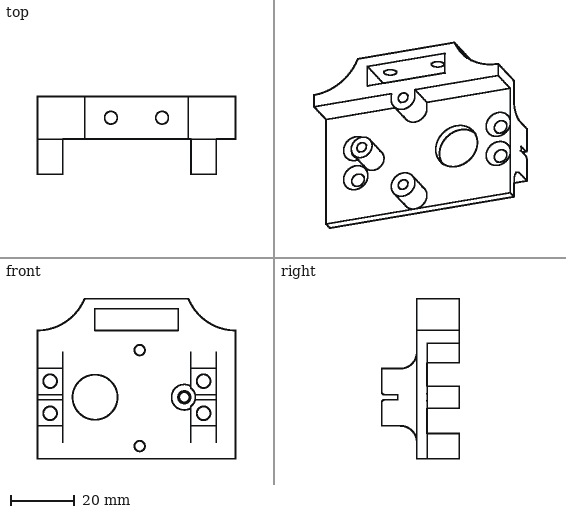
import cadquery as cq
import math

width = 62.05
height = 50.1
plate_thickness = 3.3
rear_depth = 13.4
lug_reach = 11.0

block_bottom = 36.1
shoulder_height = 40.2
crown_width = 32.5
window_width = 26.0
window_height = 6.7
crown_hole_diameter = 4.0
crown_hole_spacing = 16.0

axis_height = 19.3
standoff_diameter = 8.0
standoff_x = 32.0
standoff_pitch = 30.0
standoff_hole_diameter = 3.2
lower_standoff_z = standoff_diameter / 2
upper_standoff_z = lower_standoff_z + standoff_pitch
large_hole_diameter = 14.0
large_hole_x = 18.05

screw_x = 46.0
screw_standoff_diameter = 7.0
screw_hole_diameter = 3.15
screw_sink_diameter = 8.0
screw_seat_diameter = 4.0
lug_embed = (screw_sink_diameter - screw_standoff_diameter) / 2

lug_width = 8.0
right_lug_x = 48.0
lug_height = 18.0
lug_root_radius = 5.0
lug_slot_width = 1.5
lug_slot_depth = 5.0
lug_lip_radius = 1.0
lug_hole_diameter = 4.2
lug_hole_spacing = 10.05
lug_sink_diameter = 8.2


def box(x_start, x_end, y_start, y_end, z_start, z_end):
    """Box given by its limits along each axis."""
    size = (x_end - x_start, y_end - y_start, z_end - z_start)
    return cq.Workplane("XY").box(*size, centered=False).translate((x_start, y_start, z_start))


def rod(x, z, diameter, y_start, y_end):
    """Cylinder along +Y."""
    start = cq.Vector(x, y_start, z)
    return cq.Workplane(obj=cq.Solid.makeCylinder(diameter / 2, y_end - y_start, start, cq.Vector(0, 1, 0)))


def countersink(x, z, y_face, large_diameter, small_diameter, direction):
    """Ninety-degree cone narrowing along Y in the given direction (+1 or -1)."""
    depth = (large_diameter - small_diameter) / 2
    start = cq.Vector(x, y_face, z)
    axis = cq.Vector(0, direction, 0)
    return cq.Workplane(obj=cq.Solid.makeCone(large_diameter / 2, small_diameter / 2, depth, start, axis))


def body():
    """Plate and deep top block sharing one shouldered outline."""
    crown_left = (width - crown_width) / 2
    crown_right = width - crown_left
    rise = height - shoulder_height
    radius = (crown_left**2 + rise**2) / (2 * rise)
    half_angle = math.asin(crown_left / radius) / 2
    middle_x = radius * math.sin(half_angle)
    middle_z = shoulder_height + radius * (1 - math.cos(half_angle))
    outline = (
        cq.Workplane("XZ")
        .lineTo(width, 0)
        .lineTo(width, shoulder_height)
        .threePointArc((width - middle_x, middle_z), (crown_right, height))
        .lineTo(crown_left, height)
        .threePointArc((middle_x, middle_z), (0, shoulder_height))
        .close()
    )
    solid = outline.extrude(-rear_depth)
    return solid.cut(box(0, width, plate_thickness, rear_depth, 0, block_bottom))


def standoffs():
    """Rear posts; the upper one merges into the block with straight flanks."""
    radius = standoff_diameter / 2
    posts = rod(standoff_x, lower_standoff_z, standoff_diameter, 0, rear_depth)
    posts = posts.union(rod(standoff_x, upper_standoff_z, standoff_diameter, 0, rear_depth))
    posts = posts.union(
        box(standoff_x - radius, standoff_x + radius, 0, rear_depth, upper_standoff_z, block_bottom)
    )
    return posts.union(rod(screw_x, axis_height, screw_standoff_diameter, 0, rear_depth))


def lug(x_start):
    """Clamp lug with concave roots and a rounded slot, set slightly into the plate."""
    x_end = x_start + lug_width
    top = axis_height + lug_height / 2
    bottom = axis_height - lug_height / 2
    solid = box(
        x_start, x_end, -lug_root_radius, 0, bottom - lug_root_radius, top + lug_root_radius
    )
    for z in (bottom - lug_root_radius, top + lug_root_radius):
        start = cq.Vector(x_start, -lug_root_radius, z)
        root = cq.Solid.makeCylinder(lug_root_radius, lug_width, start, cq.Vector(1, 0, 0))
        solid = solid.cut(cq.Workplane(obj=root))
    solid = solid.union(box(x_start, x_end, -lug_reach, lug_embed, bottom, top))
    slot = box(
        x_start,
        x_end,
        -lug_reach,
        -lug_reach + lug_slot_depth,
        axis_height - lug_slot_width / 2,
        axis_height + lug_slot_width / 2,
    )
    solid = solid.cut(slot)
    lip_edges = cq.selectors.BoxSelector(
        (x_start - lug_width, -lug_reach - lug_lip_radius, axis_height - lug_slot_width),
        (x_end + lug_width, -lug_reach + lug_lip_radius, axis_height + lug_slot_width),
    )
    solid = solid.edges("|X").edges(lip_edges).fillet(lug_lip_radius)
    return solid.cut(rod(screw_x, axis_height, screw_standoff_diameter, -lug_reach, lug_embed))


def cut_lug_holes(solid, x):
    """Two through holes in a lug, countersunk from the rear of the plate."""
    for side in (-1, 1):
        z = axis_height + side * lug_hole_spacing / 2
        sink = countersink(x, z, plate_thickness, lug_sink_diameter, lug_hole_diameter, -1)
        solid = solid.cut(rod(x, z, lug_hole_diameter, -lug_reach, plate_thickness))
        solid = solid.cut(sink)
    return solid


def cut_plate_holes(solid):
    """Large opening, standoff bores and the countersunk, stepped screw hole."""
    solid = solid.cut(rod(large_hole_x, axis_height, large_hole_diameter, 0, plate_thickness))
    for z in (lower_standoff_z, upper_standoff_z):
        solid = solid.cut(rod(standoff_x, z, standoff_hole_diameter, 0, rear_depth))
    solid = solid.cut(rod(screw_x, axis_height, screw_seat_diameter, 0, plate_thickness))
    solid = solid.cut(rod(screw_x, axis_height, screw_hole_diameter, 0, rear_depth))
    return solid.cut(
        countersink(screw_x, axis_height, 0, screw_sink_diameter, screw_seat_diameter, 1)
    )


def cut_block(solid):
    """Window through the block and two vertical holes opening into it."""
    window_left = (width - window_width) / 2
    window_top = shoulder_height + window_height
    solid = solid.cut(
        box(window_left, width - window_left, 0, rear_depth, shoulder_height, window_top)
    )
    for side in (-1, 1):
        x = (width + side * crown_hole_spacing) / 2
        start = cq.Vector(x, rear_depth / 2, window_top)
        hole = cq.Solid.makeCylinder(crown_hole_diameter / 2, height - window_top, start)
        solid = solid.cut(cq.Workplane(obj=hole))
    return solid


part = cut_block(cut_plate_holes(body().union(standoffs())))
for lug_x in (0, right_lug_x):
    part = part.union(lug(lug_x))
    part = cut_lug_holes(part, lug_x + lug_width / 2)

result = part